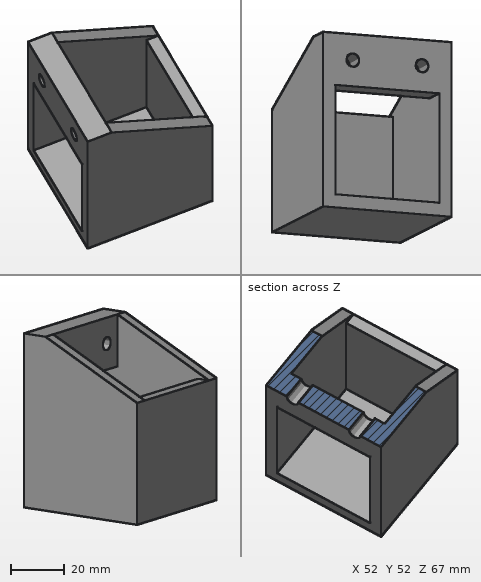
import cadquery as cq

width = 52.0
depth = 52.0
height = 67.0

wall = 5.0
front_wall = 10.0
back_height = 47.0

inner_width = width - 2 * wall
opening_top = back_height
hole_diameter = 5.0
hole_spacing = 28.0
hole_drop = 10.0

body = (
    cq.Workplane("YZ")
    .polyline([
        (0, 0),
        (depth, 0),
        (depth, back_height),
        (front_wall, height),
        (0, height),
    ])
    .close()
    .extrude(width / 2, both=True)
)

cavity = cq.Workplane("XY").box(
    inner_width, depth - front_wall - wall, height - wall, centered=(True, False, False)
).translate((0, front_wall, wall))

back_trim = cq.Workplane("XY").box(
    inner_width, wall, height - back_height, centered=(True, False, False)
).translate((0, depth - wall, back_height))

opening = cq.Workplane("XY").box(
    inner_width, front_wall, opening_top - wall, centered=(True, False, False)
).translate((0, 0, wall))

holes = (
    cq.Workplane("XZ")
    .pushPoints([(side * hole_spacing / 2, height - hole_drop) for side in (-1, 1)])
    .circle(hole_diameter / 2)
    .extrude(-front_wall)
)

result = body.cut(cavity).cut(back_trim).cut(opening).cut(holes)